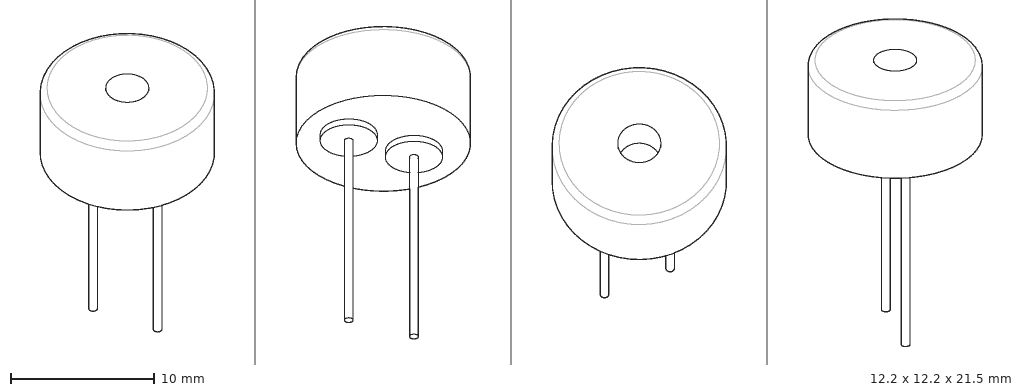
import cadquery as cq

TOTAL_HEIGHT = 21.5
HOUSING_DIAMETER = 12.2
HOUSING_HEIGHT = 6.0
TOP_EDGE_RADIUS = 0.5

SOUND_HOLE_DIAMETER = 3.0
SOUND_HOLE_DEPTH = 3.0

STANDOFF_DIAMETER = 4.0
STANDOFF_HEIGHT = 0.5
LEAD_DIAMETER = 0.62
LEAD_SPACING = 5.0
LEAD_OFFSET_X = -0.15

LEAD_LENGTH = TOTAL_HEIGHT - HOUSING_HEIGHT - STANDOFF_HEIGHT
LEAD_POSITIONS_X = [LEAD_OFFSET_X + side * LEAD_SPACING / 2 for side in (-1, 1)]


def make_housing():
    """Round housing with a rounded top edge and a blind central sound hole."""
    return (
        cq.Workplane("XY")
        .circle(HOUSING_DIAMETER / 2)
        .extrude(HOUSING_HEIGHT)
        .faces(">Z")
        .edges()
        .fillet(TOP_EDGE_RADIUS)
        .faces(">Z")
        .workplane()
        .hole(SOUND_HOLE_DIAMETER, SOUND_HOLE_DEPTH)
    )


def make_standoff(x):
    """Flat disc against the underside of the housing."""
    return (
        cq.Workplane("XY")
        .center(x, 0)
        .circle(STANDOFF_DIAMETER / 2)
        .extrude(-STANDOFF_HEIGHT)
    )


def make_lead(x):
    """Straight wire lead hanging from the underside of a standoff."""
    return (
        cq.Workplane("XY", origin=(x, 0, -STANDOFF_HEIGHT))
        .circle(LEAD_DIAMETER / 2)
        .extrude(-LEAD_LENGTH)
    )


housing = make_housing()
standoffs = [make_standoff(x) for x in LEAD_POSITIONS_X]
leads = [make_lead(x) for x in LEAD_POSITIONS_X]

result = cq.Compound.makeCompound(
    [housing.val()]
    + [standoff.val() for standoff in standoffs]
    + [lead.val() for lead in leads]
)